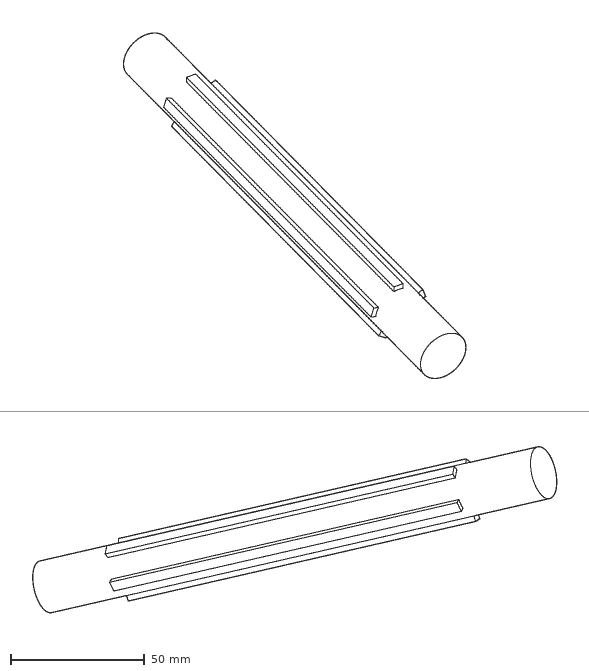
import cadquery as cq

shaft_length = 215.0
shaft_diameter = 20.0

rib_count = 5
rib_length = 150.0
rib_height = 2.0
rib_width = 2 * rib_height
rib_tip_distance = shaft_diameter / 2 + rib_height


def make_shaft():
    return cq.Workplane("YZ").circle(shaft_diameter / 2).extrude(shaft_length / 2, both=True)


def make_rib(angle):
    """Rib reaching from the shaft axis outwards, turned about X from the +Z direction."""
    rib = cq.Workplane("XY").rect(rib_length, rib_width).extrude(rib_tip_distance)
    return rib.rotate((0, 0, 0), (1, 0, 0), angle)


result = make_shaft()
for index in range(rib_count):
    result = result.union(make_rib(index * 360 / rib_count))